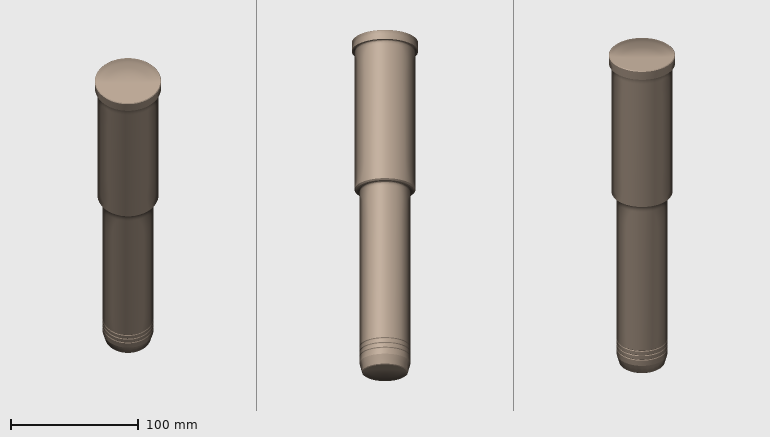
import cadquery as cq
import math

total_length = 280.0

head_diameter = 52.0
head_thickness = 7.8
head_edge_chamfer = 0.5

body_diameter = 48.0
body_end_z = 154.0
body_edge_chamfer = 1.0

neck_width = 1.0
neck_depth = 0.3

shank_diameter = 40.0
lead_in_length = 8.0
lead_in_angle = 15.0
tip_chamfer = 0.5

ring_width = 1.0
ring_depth = 0.42
ring_count = 3
ring_span = 8.0
ring_pitch = ring_span / (ring_count - 1)
lowest_ring_z = 13.5


def cylinder(diameter, bottom_z, top_z):
    """Solid cylinder on the Z axis between two heights."""
    return cq.Workplane("XY").workplane(offset=bottom_z).circle(diameter / 2).extrude(top_z - bottom_z)


def make_head():
    head = cylinder(head_diameter, total_length - head_thickness, total_length)
    return head.faces(">Z").edges().chamfer(head_edge_chamfer)


def make_body():
    body = cylinder(body_diameter, body_end_z, total_length - head_thickness)
    return body.faces("<Z").edges().chamfer(body_edge_chamfer)


def make_shank():
    radius = shank_diameter / 2
    tip_radius = radius - lead_in_length * math.tan(math.radians(lead_in_angle))
    profile = (
        cq.Workplane("XZ")
        .moveTo(0, 0)
        .lineTo(tip_radius, 0)
        .lineTo(radius, lead_in_length)
        .lineTo(radius, body_end_z)
        .lineTo(0, body_end_z)
        .close()
    )
    shank = profile.revolve(360, (0, 0, 0), (0, 1, 0))
    return shank.faces("<Z").edges().chamfer(tip_chamfer)


def ring_groove(diameter, center_z, width, depth):
    """Cutter for a V-shaped groove running around a cylinder."""
    radius = diameter / 2
    profile = (
        cq.Workplane("XZ")
        .moveTo(radius, center_z - width / 2)
        .lineTo(radius - depth, center_z)
        .lineTo(radius, center_z + width / 2)
        .close()
    )
    return profile.revolve(360, (0, 0, 0), (0, 1, 0))


result = make_head().union(make_body()).union(make_shank())

shoulders = (
    (body_diameter, total_length - head_thickness),
    (shank_diameter, body_end_z),
)
for diameter, shoulder_z in shoulders:
    result = result.cut(ring_groove(diameter, shoulder_z - neck_width / 2, neck_width, neck_depth))

for index in range(ring_count):
    ring_z = lowest_ring_z + index * ring_pitch
    result = result.cut(ring_groove(shank_diameter, ring_z, ring_width, ring_depth))